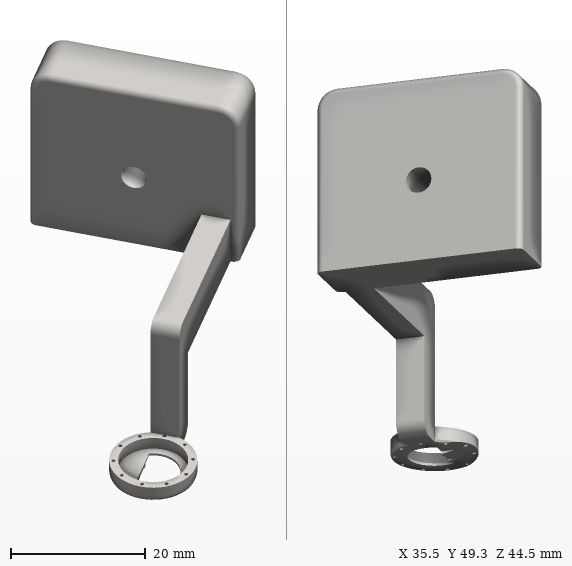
import cadquery as cq

TOTAL_WIDTH = 35.5
TOTAL_DEPTH = 49.3
TOTAL_HEIGHT = 44.45

BLOCK_WIDTH = 32.45
BLOCK_DEPTH = 9.6
BLOCK_HEIGHT = 28.85
CORNER_RADIUS = 3.2
EDGE_RADIUS = 1.0
BLOCK_HOLE_DIAMETER = 4.0

RING_DIAMETER = 13.1
RING_X = TOTAL_WIDTH - RING_DIAMETER / 2
RING_Y = -TOTAL_DEPTH + RING_DIAMETER / 2
RING_TOP = -12.7
RING_BOTTOM = -15.15
RING_CHAMFER_WIDTH = 0.15
RING_CHAMFER_HEIGHT = 0.35
POCKET_DIAMETER = 10.4
POCKET_DEPTH = 2.0
WINDOW_DIAMETER = 8.1
WINDOW_FLAT_X = -1.73
PIN_HOLE_COUNT = 10
PIN_HOLE_DIAMETER = 0.6
PIN_CIRCLE_DIAMETER = 11.85

SLOPE_OUTER_Z = -14.45
TAB_TIP_Z = BLOCK_HEIGHT - TOTAL_HEIGHT
TAB_WIDTH = 3.75
TAB_GROOVE_WIDTH = 2.1
TAB_GROOVE_DEPTH = 0.2

ARM_WIDTH = 4.5
ARM_HEIGHT = 7.95
ARM_LEG_DEPTH = 4.65
ARM_FRONT_Y = -36.6
ARM_CORNER_RADIUS = 2.0


def make_block():
    """Block with rounded top corners, softened front and back rims and a through hole."""
    block = cq.Workplane("XY").box(BLOCK_WIDTH, BLOCK_DEPTH, BLOCK_HEIGHT, centered=False)
    block = block.translate((0, -BLOCK_DEPTH, 0))
    block = block.edges("|Y and >Z").fillet(CORNER_RADIUS)
    block = block.faces("<Y or >Y").edges("not <Z").fillet(EDGE_RADIUS)
    hole_z = BLOCK_HEIGHT - BLOCK_WIDTH / 2
    hole = (
        cq.Workplane("XZ")
        .center(BLOCK_WIDTH / 2, hole_z)
        .circle(BLOCK_HOLE_DIAMETER / 2)
        .extrude(BLOCK_DEPTH)
    )
    return block.cut(hole)


def make_arm():
    """Arm running forward from the block, then down to the ring."""
    leg_back_y = ARM_FRONT_Y + ARM_LEG_DEPTH
    arm = (
        cq.Workplane("YZ")
        .moveTo(-BLOCK_DEPTH, 0)
        .lineTo(leg_back_y, 0)
        .lineTo(leg_back_y, RING_BOTTOM)
        .lineTo(ARM_FRONT_Y, RING_BOTTOM)
        .lineTo(ARM_FRONT_Y, ARM_HEIGHT)
        .lineTo(-BLOCK_DEPTH, ARM_HEIGHT)
        .close()
        .extrude(ARM_WIDTH / 2, both=True)
        .translate((RING_X, 0, 0))
    )
    arm = arm.edges("|X and >Z and <Y").fillet(ARM_CORNER_RADIUS)
    heel = cq.selectors.NearestToPointSelector((RING_X, leg_back_y, RING_BOTTOM))
    return arm.edges(heel).fillet(ARM_CORNER_RADIUS)


def ring_plane(z):
    """Horizontal workplane on the ring axis."""
    return cq.Workplane("XY", origin=(RING_X, RING_Y, z))


def ring_side_prism(points, width):
    """Prism across the ring from an outline of (X from the ring axis, Z) points."""
    profile = cq.Workplane("XZ", origin=(RING_X, RING_Y, 0)).polyline(points).close()
    return profile.extrude(width / 2, both=True)


def make_ring_body():
    """Disc chamfered below, its underside sloped on the left, with a grooved tab."""
    disc = ring_plane(RING_BOTTOM).circle(RING_DIAMETER / 2).extrude(RING_TOP - RING_BOTTOM)
    disc = disc.faces("<Z").chamfer(RING_CHAMFER_HEIGHT, RING_CHAMFER_WIDTH)

    outer_x = -RING_DIAMETER / 2
    slope_start = (outer_x, SLOPE_OUTER_Z)
    slope_end = (WINDOW_FLAT_X, TAB_TIP_Z)
    disc = disc.cut(ring_side_prism([slope_start, slope_end, (outer_x, TAB_TIP_Z)], RING_DIAMETER))

    slope = (TAB_TIP_Z - SLOPE_OUTER_Z) / (WINDOW_FLAT_X - outer_x)
    tab_start_x = outer_x + (RING_BOTTOM - SLOPE_OUTER_Z) / slope
    pocket_floor = RING_TOP - POCKET_DEPTH
    tab = ring_side_prism(
        [
            (tab_start_x, RING_BOTTOM),
            slope_end,
            (WINDOW_FLAT_X, pocket_floor),
            (tab_start_x, pocket_floor),
        ],
        TAB_WIDTH,
    )
    groove_top = TAB_TIP_Z + TAB_GROOVE_DEPTH
    groove = ring_side_prism(
        [
            (tab_start_x, TAB_TIP_Z),
            (WINDOW_FLAT_X, TAB_TIP_Z),
            (WINDOW_FLAT_X, groove_top),
            (tab_start_x, groove_top),
        ],
        TAB_GROOVE_WIDTH,
    )
    return disc.union(tab.cut(groove))


def make_ring_openings():
    """Pocket, D-shaped window and pin holes of the ring."""
    ring_height = RING_TOP - RING_BOTTOM
    pocket = ring_plane(RING_TOP).circle(POCKET_DIAMETER / 2).extrude(-POCKET_DEPTH)
    window = ring_plane(RING_BOTTOM).circle(WINDOW_DIAMETER / 2).extrude(ring_height)
    right_of_flat = (
        ring_plane(RING_BOTTOM)
        .center(WINDOW_FLAT_X, 0)
        .rect(WINDOW_DIAMETER, WINDOW_DIAMETER)
        .extrude(ring_height)
        .translate((WINDOW_DIAMETER / 2, 0, 0))
    )
    pin_holes = (
        ring_plane(RING_BOTTOM)
        .polarArray(PIN_CIRCLE_DIAMETER / 2, 90, 360, PIN_HOLE_COUNT)
        .circle(PIN_HOLE_DIAMETER / 2)
        .extrude(ring_height)
    )
    return pocket.union(window.intersect(right_of_flat)).union(pin_holes)


result = make_block().union(make_arm()).union(make_ring_body()).cut(make_ring_openings())